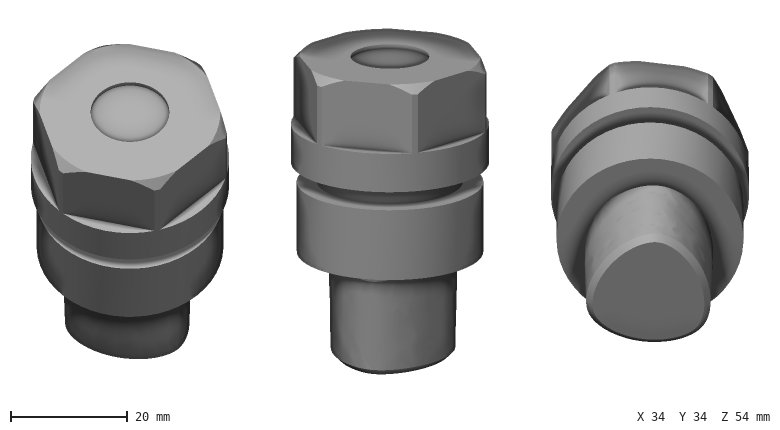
import cadquery as cq
import math

total_height = 54.0
shank_length = 18.9
body_length = 12.6
neck_length = 3.55
flange_length = 6.9

body_diameter = 32.0
neck_diameter = 25.0
flange_diameter = 34.0

hex_across_flats = 29.95
head_chamfer = 1.5
recess_diameter = 13.5
recess_depth = 0.8

lobe_mean_radius = 11.1
lobe_eccentricity = 0.7
taper_slope = 1 / 40
shank_chamfer = 1.1
relief_radius = 10.55
relief_straight = 0.55
curve_points = 48

body_bottom = shank_length
neck_bottom = body_bottom + body_length
flange_bottom = neck_bottom + neck_length
head_bottom = flange_bottom + flange_length
head_height = total_height - head_bottom


def disc(diameter, bottom, height):
    return cq.Workplane("XY").workplane(offset=bottom).circle(diameter / 2).extrude(height)


def lobe_wire(mean_radius, height):
    """Closed curve whose tangent distance from the axis is mean + eccentricity * cos(3 * angle)."""
    points = []
    for step in range(curve_points):
        angle = 2 * math.pi * step / curve_points
        distance = mean_radius + lobe_eccentricity * math.cos(3 * angle)
        slope = -3 * lobe_eccentricity * math.sin(3 * angle)
        x = distance * math.cos(angle) - slope * math.sin(angle)
        y = distance * math.sin(angle) + slope * math.cos(angle)
        points.append(cq.Vector(x, y, height))
    return cq.Wire.assembleEdges([cq.Edge.makeSpline(points, periodic=True)])


def lobe_loft(bottom_radius, bottom, top_radius, top):
    wires = [lobe_wire(bottom_radius, bottom), lobe_wire(top_radius, top)]
    return cq.Workplane(cq.Solid.makeLoft(wires, True))


def make_shank():
    chamfer_radius = lobe_mean_radius - taper_slope * (shank_length - shank_chamfer)
    tip = lobe_loft(chamfer_radius - shank_chamfer, 0, chamfer_radius, shank_chamfer)
    taper = lobe_loft(chamfer_radius, shank_chamfer, lobe_mean_radius, shank_length)

    clear_radius = body_diameter / 2
    cone_top = shank_length - relief_straight
    cone_bottom = cone_top - (clear_radius - relief_radius)
    relief_envelope = (
        cq.Workplane("XZ")
        .moveTo(0, 0)
        .lineTo(clear_radius, 0)
        .lineTo(clear_radius, cone_bottom)
        .lineTo(relief_radius, cone_top)
        .lineTo(relief_radius, shank_length)
        .lineTo(0, shank_length)
        .close()
        .revolve(360, (0, 0, 0), (0, 1, 0))
    )
    return tip.union(taper.intersect(relief_envelope))


def make_head():
    hexagon = (
        cq.Workplane("XY")
        .workplane(offset=head_bottom)
        .polygon(6, hex_across_flats, circumscribed=True)
        .extrude(head_height)
    )
    corner_envelope = disc(flange_diameter, head_bottom, head_height).faces(">Z").chamfer(head_chamfer)
    recess = disc(recess_diameter, total_height - recess_depth, recess_depth)
    return hexagon.intersect(corner_envelope).cut(recess)


result = (
    make_shank()
    .union(disc(body_diameter, body_bottom, body_length))
    .union(disc(neck_diameter, neck_bottom, neck_length))
    .union(disc(flange_diameter, flange_bottom, flange_length))
    .union(make_head())
)